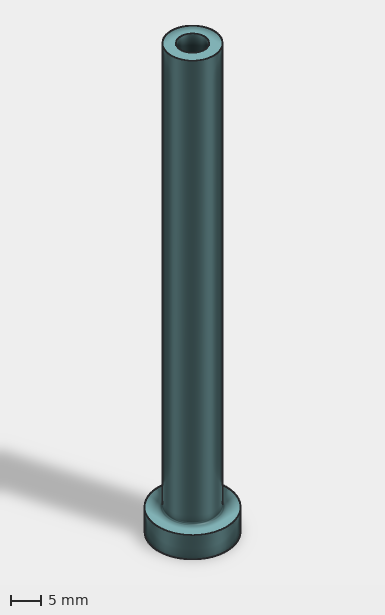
import cadquery as cq

total_length = 100.0
head_diameter = 16.0
head_height = 5.0
shank_diameter = 10.0
bore_diameter = 5.5
neck_fillet_radius = 0.5


def make_head():
    """Flat disc with its underside on Z = 0."""
    return cq.Workplane("XY").circle(head_diameter / 2).extrude(head_height)


def add_shank(body):
    """Cylindrical shank rising from the head to the full length."""
    shank_length = total_length - head_height
    return body.faces(">Z").workplane().circle(shank_diameter / 2).extrude(shank_length)


def round_neck(body):
    """Fillet the inner corner where the shank meets the head."""
    neck_edge = cq.selectors.NearestToPointSelector((0, 0, head_height))
    return body.edges("%CIRCLE").edges(neck_edge).fillet(neck_fillet_radius)


def cut_bore(body):
    """Coaxial hole through the whole part."""
    bore = cq.Workplane("XY").circle(bore_diameter / 2).extrude(total_length)
    return body.cut(bore)


result = cut_bore(round_neck(add_shank(make_head())))